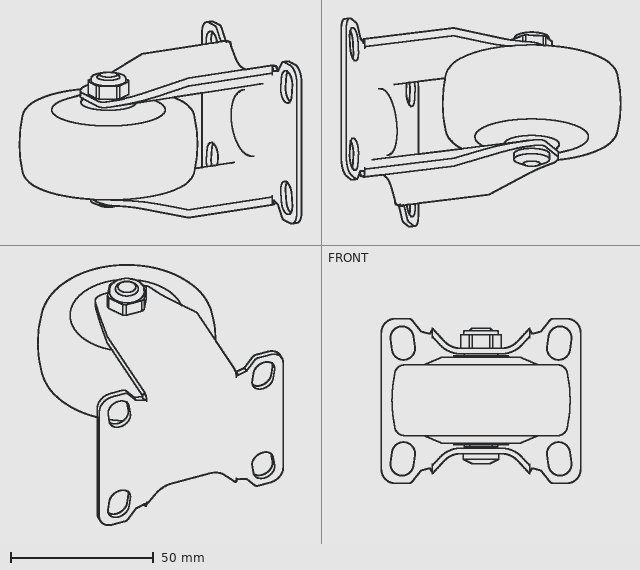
import cadquery as cq
import math


SHEET = 2.0
PLATE_X = 70.0
PLATE_Z = 57.8
PLATE_CORNER_R = 5.0
PLATE_BACK_Y = 58.1
PLATE_FRONT_Y = PLATE_BACK_Y - SHEET
NOTCH_TOP_X = 24.6
NOTCH_LOW_X, NOTCH_LOW_Z = 21.0, 24.4
NOTCH_END_X, NOTCH_END_Z = 18.0, 23.6
NOTCH_LEG_Z = 25.1
NOTCH_CORNER_R = 1.8
NOTCH_BEND_R = 0.7
BOSS_R = 11.8
BOSS_HEIGHT = 1.2
BOSS_EDGE_R = 0.7
BOSS_ROOT_R = 0.4
SLOT_X, SLOT_Z = 27.4, 20.3
SLOT_WIDTH = 8.0
SLOT_SPACING = 3.7
SLOT_TILT = 8.0

LEG_INNER_Z = 16.5
LEG_OUTER_Z = LEG_INNER_Z + SHEET
LEG_HALF_WIDTH = 17.1
LEG_FLAT_HALF_WIDTH = 7.15
FLARE_ANGLE = math.radians(47.5)
FLARE_R = 7.9
TAPER_START_Y = 22.7
TIP_Y = -7.5
TIP_HALF_WIDTH = 9.5
TIP_CORNER_R = 4.9
OUTER_BEND_R = 1.9
INNER_BEND_R = 0.4

WHEEL_R = 31.3
WHEEL_SHIFT = 0.3
CROWN_EDGE_R = 30.2
CROWN_HALF_WIDTH = 9.8
TREAD_HALF_WIDTH = 12.4
SHOULDER_R = 3.5
HUB_CONE_R = 19.9
HUB_FACE_R = 13.7
HUB_HALF_WIDTH = 15.1
HUB_EDGE_R = 1.3
COLLAR_R = 9.65
COLLAR_HALF_WIDTH = 15.6
COLLAR_EDGE_R = 0.45
BUSH_R = 5.9
BUSH_HALF_WIDTH = LEG_INNER_Z - WHEEL_SHIFT

BOLT_R = 4.0
BOLT_TOP_Z = 25.6
BOLT_END_CHAMFER = 0.9
HEAD_R = 6.25
HEAD_RIM = 2.0
HEAD_HEIGHT = 3.6
HEAD_END_R = 2.95

NUT_FLATS = 13.0
NUT_CORNER_R = 7.15
NUT_HEX_HEIGHT = 4.7
NUT_HEIGHT = 6.2
NUT_COLLAR_R = 6.1
NUT_COLLAR_EDGE_R = 0.45


def leg_face_points(flat_z, bend_r):
    """Right half of one leg face in XZ: flat end, arc middle, arc end and outer edge."""

    def on_bend(angle):
        x = LEG_FLAT_HALF_WIDTH + bend_r * math.sin(angle)
        return x, flat_z + bend_r * (1 - math.cos(angle))

    arc_end_x, arc_end_z = on_bend(FLARE_ANGLE)
    edge_z = arc_end_z + (LEG_HALF_WIDTH - arc_end_x) * math.tan(FLARE_ANGLE)
    return [on_bend(0), on_bend(FLARE_ANGLE / 2), (arc_end_x, arc_end_z), (LEG_HALF_WIDTH, edge_z)]


def mirrored(point):
    return -point[0], point[1]


INNER_FACE = leg_face_points(LEG_INNER_Z, FLARE_R + SHEET)
OUTER_FACE = leg_face_points(LEG_OUTER_Z, FLARE_R)


def trace_leg_face(outline, face):
    """Continue an outline from the leg's right edge to its left edge along one face."""
    flat, middle, bend, _ = face
    outline = outline.lineTo(*bend).threePointArc(middle, flat)
    outline = outline.lineTo(*mirrored(flat)).threePointArc(mirrored(middle), mirrored(bend))
    return outline.lineTo(*mirrored(face[-1]))


def extrude_from_back(outline, depth):
    """Extrude an XZ outline from the plate's back towards -Y."""
    return outline.close().extrude(depth).translate((0, PLATE_BACK_Y, 0))


def make_plate_half():
    """Upper half of the plate, down to Z = 0, ending on the inner face of the leg."""
    right_edge = [
        (PLATE_X / 2, 0),
        (PLATE_X / 2, PLATE_Z / 2),
        (NOTCH_TOP_X, PLATE_Z / 2),
        (NOTCH_LOW_X, NOTCH_LOW_Z),
        (NOTCH_END_X, NOTCH_END_Z),
        (LEG_HALF_WIDTH, NOTCH_LEG_Z),
        INNER_FACE[-1],
    ]
    outline = cq.Workplane("XZ").polyline(right_edge)
    outline = trace_leg_face(outline, INNER_FACE)
    for point in reversed(right_edge[:-1]):
        outline = outline.lineTo(*mirrored(point))
    plate = extrude_from_back(outline, SHEET)
    for side in ("<X", ">X"):
        plate = plate.faces(side).edges("|Y and >Z").fillet(PLATE_CORNER_R)

    bump_x = (NOTCH_END_X + LEG_HALF_WIDTH) / 2
    bump_z = (NOTCH_END_Z + NOTCH_LEG_Z) / 2
    for side in (-1, 1):
        notch_corner = (side * NOTCH_TOP_X, PLATE_BACK_Y - SHEET / 2, PLATE_Z / 2)
        plate = plate.edges(cq.selectors.NearestToPointSelector(notch_corner)).fillet(NOTCH_CORNER_R)
        edge_by_leg = (side * bump_x, PLATE_BACK_Y, bump_z)
        plate = plate.edges(cq.selectors.NearestToPointSelector(edge_by_leg)).fillet(NOTCH_BEND_R)
    return plate


def make_leg():
    """Upper leg: a flared channel whose tip tapers, rounded where it meets the plate's back."""
    outline = cq.Workplane("XZ").moveTo(*OUTER_FACE[-1])
    outline = trace_leg_face(outline, OUTER_FACE)
    flat, middle, bend, edge = INNER_FACE
    outline = outline.lineTo(*mirrored(edge)).lineTo(*mirrored(bend))
    outline = outline.threePointArc(mirrored(middle), mirrored(flat)).lineTo(*flat)
    outline = outline.threePointArc(middle, bend).lineTo(*edge)
    channel = extrude_from_back(outline, PLATE_BACK_Y - TIP_Y)
    outer_bend = channel.edges(cq.selectors.NearestToPointSelector((0, PLATE_BACK_Y, LEG_OUTER_Z)))
    channel = outer_bend.fillet(OUTER_BEND_R)

    silhouette = (
        cq.Workplane("XY")
        .polyline([
            (-LEG_HALF_WIDTH, PLATE_BACK_Y),
            (-LEG_HALF_WIDTH, TAPER_START_Y),
            (-TIP_HALF_WIDTH, TIP_Y),
            (TIP_HALF_WIDTH, TIP_Y),
            (LEG_HALF_WIDTH, TAPER_START_Y),
            (LEG_HALF_WIDTH, PLATE_BACK_Y),
        ])
        .close()
        .extrude(PLATE_Z / 2)
        .edges("|Z and <Y")
        .fillet(TIP_CORNER_R)
    )
    return channel.intersect(silhouette)


def make_bracket():
    half = make_plate_half().union(make_leg())
    inner_bend = half.edges(cq.selectors.NearestToPointSelector((0, PLATE_FRONT_Y, LEG_INNER_Z)))
    half = inner_bend.fillet(INNER_BEND_R)
    bracket = half.union(half.mirror("XY"))

    boss = cq.Workplane("XZ", origin=(0, PLATE_FRONT_Y, 0)).circle(BOSS_R).extrude(BOSS_HEIGHT)
    bracket = bracket.union(boss.faces("<Y").edges().fillet(BOSS_EDGE_R))
    boss_root = bracket.edges(cq.selectors.NearestToPointSelector((0, PLATE_FRONT_Y, 0)))
    bracket = boss_root.fillet(BOSS_ROOT_R)

    for side_x in (-1, 1):
        for side_z in (-1, 1):
            slot = (
                cq.Workplane("XZ", origin=(side_x * SLOT_X, PLATE_BACK_Y, side_z * SLOT_Z))
                .slot2D(SLOT_SPACING + SLOT_WIDTH, SLOT_WIDTH, 90 - side_x * side_z * SLOT_TILT)
                .extrude(SHEET)
            )
            bracket = bracket.cut(slot)

    axle_hole = cq.Workplane("XY").circle(BOLT_R).extrude(LEG_OUTER_Z, both=True)
    return bracket.cut(axle_hole)


def make_wheel():
    """Crowned tyre, conical hub and bush in one piece, turned about Z."""
    crown_rise = WHEEL_R - CROWN_EDGE_R
    crown_r = (CROWN_HALF_WIDTH**2 + crown_rise**2) / (2 * crown_rise)
    side_r = WHEEL_R - crown_r + math.sqrt(crown_r**2 - TREAD_HALF_WIDTH**2)
    profile = (
        cq.Workplane("XZ")
        .moveTo(side_r, -TREAD_HALF_WIDTH)
        .threePointArc((WHEEL_R, 0), (side_r, TREAD_HALF_WIDTH))
        .lineTo(0, TREAD_HALF_WIDTH)
        .lineTo(0, -TREAD_HALF_WIDTH)
        .close()
    )
    tyre = profile.revolve(360, (0, 0, 0), (0, 1, 0))
    tyre = tyre.faces("|Z").edges().fillet(SHOULDER_R)

    hub = (
        cq.Workplane("XZ")
        .polyline([
            (0, 0),
            (HUB_CONE_R, 0),
            (HUB_CONE_R, TREAD_HALF_WIDTH),
            (HUB_FACE_R, HUB_HALF_WIDTH),
            (0, HUB_HALF_WIDTH),
        ])
        .close()
        .revolve(360, (0, 0, 0), (0, 1, 0))
        .faces(">Z")
        .edges()
        .fillet(HUB_EDGE_R)
    )
    collar = cq.Workplane("XY").circle(COLLAR_R).extrude(COLLAR_HALF_WIDTH)
    collar = collar.faces(">Z").edges().fillet(COLLAR_EDGE_R)
    bush = cq.Workplane("XY").circle(BUSH_R).extrude(BUSH_HALF_WIDTH)

    wheel = tyre
    for part in (hub, collar, bush):
        wheel = wheel.union(part).union(part.mirror("XY"))
    bore = cq.Workplane("XY").circle(BOLT_R).extrude(BUSH_HALF_WIDTH, both=True)
    return wheel.cut(bore).translate((0, 0, WHEEL_SHIFT))


def make_bolt():
    shank_length = LEG_OUTER_Z + BOLT_TOP_Z
    shank = cq.Workplane("XY", origin=(0, 0, -LEG_OUTER_Z)).circle(BOLT_R).extrude(shank_length)
    shank = shank.faces(">Z").edges().chamfer(BOLT_END_CHAMFER)
    head = (
        cq.Workplane("XZ")
        .polyline([
            (0, -LEG_OUTER_Z),
            (HEAD_R, -LEG_OUTER_Z),
            (HEAD_R, -LEG_OUTER_Z - HEAD_RIM),
            (HEAD_END_R, -LEG_OUTER_Z - HEAD_HEIGHT),
            (0, -LEG_OUTER_Z - HEAD_HEIGHT),
        ])
        .close()
        .revolve(360, (0, 0, 0), (0, 1, 0))
    )
    return shank.union(head)


def make_nut():
    base = cq.Workplane("XY", origin=(0, 0, LEG_OUTER_Z))
    across_corners = NUT_FLATS / math.cos(math.pi / 6)
    hexagon = base.polygon(6, across_corners).extrude(NUT_HEX_HEIGHT)
    hexagon = hexagon.intersect(base.circle(NUT_CORNER_R).extrude(NUT_HEX_HEIGHT))
    collar = base.circle(NUT_COLLAR_R).extrude(NUT_HEIGHT)
    collar = collar.faces(">Z").edges().fillet(NUT_COLLAR_EDGE_R)
    return hexagon.union(collar).cut(base.circle(BOLT_R).extrude(NUT_HEIGHT))


bracket = make_bracket()
wheel = make_wheel()
bolt = make_bolt()
nut = make_nut()

result = cq.Compound.makeCompound([bracket.val(), wheel.val(), bolt.val(), nut.val()])